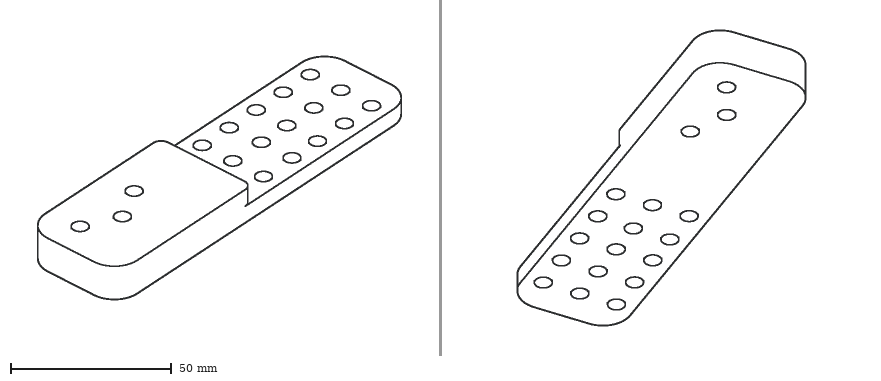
import cadquery as cq

pitch = 12.7
length = 139.7
width = 3 * pitch
height = pitch
hole_diameter = 5.6

plate_thickness = height / 2
block_length = 5 * pitch
end_radius = 9.5
step_radius = 3.2

grid_columns = 3
grid_rows = 5
shifted_row = 3
row_shift = 0.7

first_block_hole = 11.5
block_hole_offset = pitch / 2

front_end = -length / 2
back_end = length / 2


def make_plate():
    """Full-length plate with four rounded corners."""
    plate = cq.Workplane("XY").box(width, length, plate_thickness, centered=(True, True, False))
    return plate.edges("|Z").fillet(end_radius)


def make_block():
    """Thick end block, rounded like the plate at its outer end and tighter at the step."""
    block = (
        cq.Workplane("XY")
        .box(width, block_length, height, centered=(True, False, False))
        .translate((0, front_end, 0))
    )
    block = block.edges("|Z and <Y").fillet(end_radius)
    return block.edges("|Z and >Y").fillet(step_radius)


def grid_points():
    """Hole centres of the grid; one row is shifted, except in its -X column."""
    points = []
    for row in range(grid_rows):
        for column in range(grid_columns):
            x = (column - (grid_columns - 1) / 2) * pitch
            y = back_end - (row + 1) * pitch
            if row == shifted_row and column > 0:
                y += row_shift
            points.append((x, y))
    return points


def block_points():
    """Staggered hole centres, one pitch apart along Y."""
    first_y = front_end + first_block_hole
    return [
        (-block_hole_offset, first_y),
        (0, first_y + pitch),
        (-block_hole_offset, first_y + 2 * pitch),
    ]


holes = (
    cq.Workplane("XY")
    .pushPoints(grid_points() + block_points())
    .circle(hole_diameter / 2)
    .extrude(height)
)

result = make_plate().union(make_block()).cut(holes)